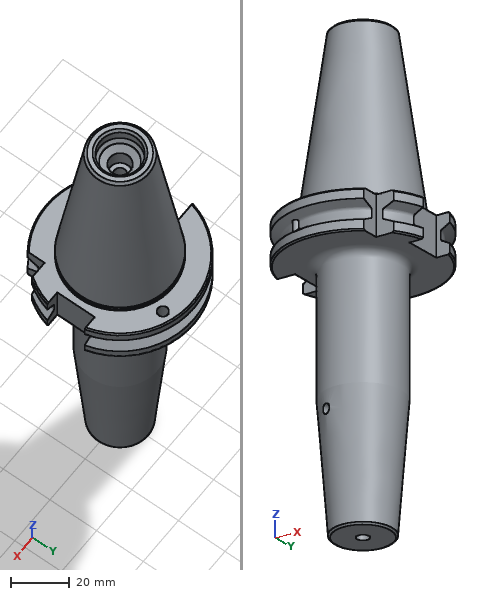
import cadquery as cq
import math

total_length = 188.4

gauge_radius = 22.2
taper_length = 68.4
taper_slope = 7 / 48
taper_end_chamfer = 1.0
relief_top = -1.1
relief_bottom = -2.6
relief_depth = 0.2
taper_end_radius = gauge_radius - taper_length * taper_slope
collar_radius = gauge_radius - relief_top * taper_slope

flange_diameter = 63.5
flange_radius = flange_diameter / 2
flange_top = -3.2
flange_bottom = -19.0
flange_chamfer = 0.5
groove_radius = 28.0
groove_middle = -11.1
groove_floor_width = 3.5
groove_flank_angle = 30.0
groove_fillet = 1.0

shank_radius = 16.0
shank_fillet = 3.2
nose_length = 51.0
nose_end_radius = 12.0
nose_end_chamfer = 0.8
nose_bottom = taper_length - total_length
nose_top = nose_bottom + nose_length

slot_width = 16.0
left_slot_floor = 22.8
right_slot_floor = 25.0
notch_offset = 18.5

bore_mouth_radius = 9.5
counterbore_radius = 8.5
counterbore_depth = 4.9
seat_radius = 7.2
seat_depth = 6.4
pilot_radius = 4.3
pilot_depth = 15.0
through_radius = 2.5

drill_point_angle = 30.0
drill_slope = math.tan(math.radians(drill_point_angle))

hole_turn = 20.0
flange_hole_radius = 2.0
flange_hole_circle = 27.0
flange_hole_depth = 9.0
nose_hole_radius = 1.9
nose_hole_z = -75.7
nose_hole_depth = 5.7


def revolve_profile(points):
    """Revolve (radius, z) points, closed along the axis, about Z."""
    return cq.Workplane("XZ").polyline(points).close().revolve(360, (0, 0, 0), (0, 1, 0))


def make_body():
    flank_height = (flange_radius - groove_radius) * math.tan(math.radians(groove_flank_angle))
    floor_half = groove_floor_width / 2
    mouth_half = floor_half + flank_height
    rim_radius = flange_radius - flange_chamfer
    relief_radius = collar_radius - relief_depth
    profile = (
        cq.Workplane("XZ")
        .moveTo(0, nose_bottom)
        .lineTo(nose_end_radius - nose_end_chamfer, nose_bottom)
        .lineTo(nose_end_radius, nose_bottom + nose_end_chamfer)
        .lineTo(shank_radius, nose_top)
        .lineTo(shank_radius, flange_bottom - shank_fillet)
        .radiusArc((shank_radius + shank_fillet, flange_bottom), shank_fillet)
        .lineTo(rim_radius, flange_bottom)
        .lineTo(flange_radius, flange_bottom + flange_chamfer)
        .lineTo(flange_radius, groove_middle - mouth_half)
        .lineTo(groove_radius, groove_middle - floor_half)
        .lineTo(groove_radius, groove_middle + floor_half)
        .lineTo(flange_radius, groove_middle + mouth_half)
        .lineTo(flange_radius, flange_top - flange_chamfer)
        .lineTo(rim_radius, flange_top)
        .lineTo(collar_radius, flange_top)
        .lineTo(collar_radius, relief_bottom)
        .lineTo(relief_radius, relief_bottom)
        .lineTo(relief_radius, relief_top)
        .lineTo(collar_radius, relief_top)
        .lineTo(taper_end_radius + taper_end_chamfer * taper_slope, taper_length - taper_end_chamfer)
        .lineTo(taper_end_radius - taper_end_chamfer, taper_length)
        .lineTo(0, taper_length)
        .close()
    )
    body = profile.revolve(360, (0, 0, 0), (0, 1, 0))
    groove_corners = cq.selectors.BoxSelector(
        (-flange_radius, -flange_radius, groove_middle - groove_floor_width),
        (flange_radius, flange_radius, groove_middle + groove_floor_width),
    )
    floor_edges = [
        edge
        for edge in body.edges("%CIRCLE").edges(groove_corners).vals()
        if math.isclose(edge.radius(), groove_radius)
    ]
    return body.newObject(floor_edges).fillet(groove_fillet)


def make_bore():
    mouth_chamfer = bore_mouth_radius - counterbore_radius
    step_height = counterbore_radius - seat_radius
    cone_height = (seat_radius - pilot_radius) * drill_slope
    return revolve_profile([
        (0, taper_length),
        (bore_mouth_radius, taper_length),
        (counterbore_radius, taper_length - mouth_chamfer),
        (counterbore_radius, taper_length - counterbore_depth),
        (seat_radius, taper_length - counterbore_depth - step_height),
        (seat_radius, taper_length - seat_depth),
        (pilot_radius, taper_length - seat_depth - cone_height),
        (pilot_radius, taper_length - pilot_depth),
        (through_radius, taper_length - pilot_depth),
        (through_radius, nose_bottom),
        (0, nose_bottom),
    ])


def make_flange_cutter(x_near, x_far, y_near, y_far):
    """Box that cuts through the flange height only."""
    box = cq.Workplane("XY").box(x_far - x_near, y_far - y_near, flange_top - flange_bottom, centered=False)
    return box.translate((x_near, y_near, flange_bottom))


def make_drill(radius, depth):
    """Drill along -Z from the origin: a full-width shaft of this depth, then a point."""
    return revolve_profile([
        (0, 0),
        (radius, 0),
        (radius, -depth),
        (0, -depth - radius * drill_slope),
    ])


def make_flange_hole():
    drill = make_drill(flange_hole_radius, flange_hole_depth)
    return drill.translate((0, -flange_hole_circle, flange_top))


def make_nose_hole():
    drill = make_drill(nose_hole_radius, nose_hole_depth)
    return drill.rotate((0, 0, 0), (1, 0, 0), 90).translate((0, -shank_radius, nose_hole_z))


def turn_about_axis(shape, angle):
    return shape.rotate((0, 0, 0), (0, 0, 1), angle)


result = make_body().cut(make_bore())

half_slot = slot_width / 2
result = result.cut(make_flange_cutter(-flange_radius, -left_slot_floor, -half_slot, half_slot))
result = result.cut(make_flange_cutter(right_slot_floor, flange_radius, -half_slot, half_slot))
result = result.cut(make_flange_cutter(notch_offset, flange_radius, -flange_radius, -notch_offset))

for angle in (-hole_turn, 180 - hole_turn):
    result = result.cut(turn_about_axis(make_flange_hole(), angle))
result = result.cut(turn_about_axis(make_nose_hole(), -hole_turn))